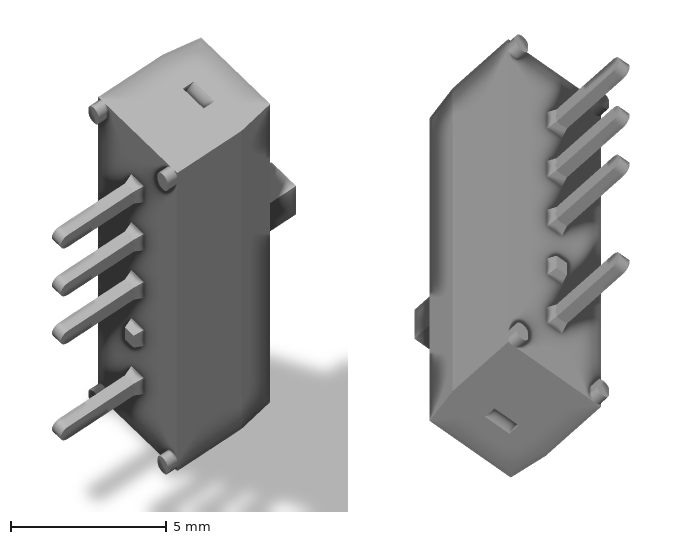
import cadquery as cq


body_width = 4.0
body_height = 15.8
body_depth = 4.1

flank_depth = 1.77
tongue_width = 3.0
tongue_corner_radius = 0.16
roof_thickness = 0.103
taper_depth = 1.4
taper_inset = 0.25
shoulder_y = body_depth - flank_depth
tongue_top_y = body_depth - roof_thickness
taper_y = body_depth - taper_depth

latch_width = 1.05
latch_catch_y = body_depth - 1.01
latch_ridge_y = body_depth - 1.31
latch_reach = 0.33
latch_arm_thickness = 0.24
end_z = body_height / 2
latch_root_z = end_z - latch_reach
latch_arm_back_z = latch_root_z - latch_arm_thickness

actuator_width = 1.25
actuator_height = 1.5
actuator_projection = 2.0

plate_width = 3.49
plate_height = 14.0
plate_thickness = 0.5
terminal_pitch = 2.55
terminal_rows = range(-2, 3)
pinless_row = -1
collar_base_width = 0.63
collar_base_height = 0.85
collar_length = 0.35
pin_width = 0.45
pin_height = 0.63
pin_reach = 3.4

foot_width = 0.5
foot_height = 0.77
foot_length = 0.4


def block(width, height, y_start, y_end):
    """Box centred on the Y axis, between two Y positions."""
    depth = y_end - y_start
    return cq.Workplane("XY").box(width, depth, height).translate((0, (y_start + y_end) / 2, 0))


def make_tongue():
    """Narrow upper part of the base, rounded along its two top edges."""
    tongue = block(tongue_width, body_height, shoulder_y, tongue_top_y)
    return tongue.edges("|Z and >Y").fillet(tongue_corner_radius)


def make_latch_shape(hook_lower_points):
    """Arm and hook at the +Z end; the lower side of the hook is given as (Y, Z) points."""
    profile = [
        (tongue_top_y, latch_arm_back_z),
        (tongue_top_y, latch_root_z),
        (latch_catch_y, latch_root_z),
        (latch_catch_y, end_z),
        *hook_lower_points,
        (shoulder_y, latch_arm_back_z),
    ]
    return cq.Workplane("YZ").polyline(profile).close().extrude(latch_width / 2, both=True)


def make_latch():
    """Latch whose hook is flush with the end face and then ramps inward towards the mounting face."""
    return make_latch_shape([(latch_ridge_y, end_z), (shoulder_y, latch_root_z)])


def make_latch_pocket():
    """Room in the base for one latch: a slot for the arm and a rectangular window for the hook."""
    return make_latch_shape([(shoulder_y, end_z)])


def at_both_ends(shape):
    """The shape together with its mirror image in the plane Z = 0."""
    return [shape, shape.mirror("XY")]


def make_cover():
    half_width = body_width / 2
    half_top = half_width - taper_inset
    outline = [
        (-half_width, shoulder_y),
        (half_width, shoulder_y),
        (half_width, taper_y),
        (half_top, body_depth),
        (-half_top, body_depth),
        (-half_width, taper_y),
    ]
    cover = cq.Workplane("XY").polyline(outline).close().extrude(end_z, both=True)
    cover = cover.cut(make_tongue())
    for latch in at_both_ends(make_latch()):
        cover = cover.union(latch)
    return cover.cut(make_actuator())


def make_feet():
    foot_x = (body_width - foot_width) / 2
    foot_z = (body_height - foot_height) / 2
    corners = [(x, z) for x in (-foot_x, foot_x) for z in (-foot_z, foot_z)]
    return cq.Workplane("XZ").pushPoints(corners).slot2D(foot_height, foot_width, 90).extrude(foot_length)


def make_base():
    base = block(body_width, body_height, 0, shoulder_y).union(make_tongue())
    for pocket in at_both_ends(make_latch_pocket()):
        base = base.cut(pocket)
    base = base.cut(make_plate())
    return base.union(make_feet())


def make_actuator():
    """Slider that stands on the tongue of the base."""
    return block(actuator_width, actuator_height, tongue_top_y, body_depth + actuator_projection)


def make_plate():
    return block(plate_width, plate_height, 0, plate_thickness)


def make_collar():
    """Tapered collar on the mounting face, ending in the cross-section of the pin."""
    return (
        cq.Workplane("XZ")
        .rect(collar_base_width, collar_base_height)
        .workplane(offset=collar_length)
        .rect(pin_width, pin_height)
        .loft()
    )


def make_pin():
    """Flat pin from the end of the collar, with a fully rounded tip."""
    half_height = pin_height / 2
    round_start_y = half_height - pin_reach
    return (
        cq.Workplane("YZ")
        .moveTo(-collar_length, half_height)
        .lineTo(round_start_y, half_height)
        .threePointArc((-pin_reach, 0), (round_start_y, -half_height))
        .lineTo(-collar_length, -half_height)
        .close()
        .extrude(pin_width / 2, both=True)
    )


def make_terminal_block():
    terminal_block = make_plate()
    for row in terminal_rows:
        position = (0, 0, row * terminal_pitch)
        terminal_block = terminal_block.union(make_collar().translate(position))
        if row != pinless_row:
            terminal_block = terminal_block.union(make_pin().translate(position))
    return terminal_block


base = make_base()
cover = make_cover()
actuator = make_actuator()
terminal_block = make_terminal_block()

result = cq.Compound.makeCompound([base.val(), cover.val(), actuator.val(), terminal_block.val()])